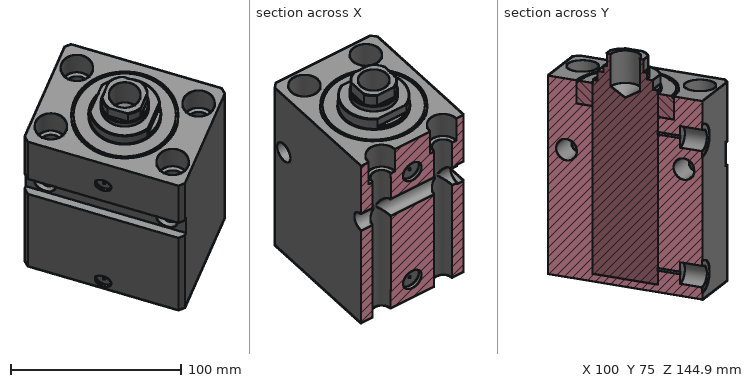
import cadquery as cq
import math

block_width = 100.0
block_depth = 75.0
block_height = 124.9
corner_chamfer = 3.0

bolt_hole_diameter = 13.0
bolt_spacing_x = 76.0
bolt_spacing_y = 44.9
counterbore_diameter = 19.0
counterbore_depth = 17.4

slot_height = 15.0
slot_depth = 4.9
slot_middle_z = block_height - 44.8

port_diameter = 13.2
port_depth = 14.5
spotface_diameter = 20.0
spotface_depth = 0.3
upper_port_z = block_height - 24.9
lower_port_z = 14.5

vent_diameter = 10.1
vent_depth = 1.7
upper_vent_z = block_height - 21.7
lower_vent_z = 7.1

passage_diameter = 1.3

gland_diameter = 62.9
gland_height = 14.5
gland_chamfer = 1.5
seal_lip_diameter = 42.9
seal_lip_height = 0.3

rod_diameter = 41.9
rod_bottom_z = 5.0
rod_shoulder_z = block_height + 8.0
rod_flat_bottom_z = block_height + 2.0
rod_across_flats = 36.0
neck_diameter = 28.4
neck_top_z = block_height + 12.0
head_diameter = 27.2
head_across_flats = 24.0
rod_top_z = 144.9
edge_chamfer = 0.5
rod_hole_diameter = 18.5
rod_hole_depth = 20.3
drill_point_angle = 118.0


def cylinder(diameter, bottom_z, top_z):
    """Upright cylinder on the Z axis."""
    return cq.Workplane("XY").workplane(offset=bottom_z).circle(diameter / 2).extrude(top_z - bottom_z)


def cylinder_inward_x(diameter, z, depth):
    """Cylinder running from the left face into the block."""
    return cq.Workplane("YZ", origin=(-block_width / 2, 0, z)).circle(diameter / 2).extrude(depth)


def cylinder_inward_y(diameter, x, z, depth):
    """Cylinder running from the front face into the block."""
    return cq.Workplane("XZ", origin=(x, -block_depth / 2, z)).circle(diameter / 2).extrude(-depth)


def make_housing():
    block = (
        cq.Workplane("XY")
        .box(block_width, block_depth, block_height, centered=(True, True, False))
        .edges("|Z")
        .chamfer(corner_chamfer)
    )

    block = (
        block.faces(">Z")
        .workplane()
        .rarray(bolt_spacing_x, bolt_spacing_y, 2, 2)
        .cboreHole(bolt_hole_diameter, counterbore_diameter, counterbore_depth)
    )

    slot = cq.Workplane("XY", origin=(0, -block_depth / 2, slot_middle_z)).box(
        block_width, 2 * slot_depth, slot_height
    )
    block = block.cut(slot)
    for x in (-bolt_spacing_x / 2, bolt_spacing_x / 2):
        block = block.cut(cylinder_inward_y(bolt_hole_diameter, x, slot_middle_z, block_depth))

    for z in (lower_port_z, upper_port_z):
        block = block.cut(cylinder_inward_x(spotface_diameter, z, spotface_depth))
        block = block.cut(cylinder_inward_x(port_diameter, z, port_depth))
        block = block.cut(cylinder_inward_x(passage_diameter, z, block_width / 2))

    for z in (lower_vent_z, upper_vent_z):
        block = block.cut(cylinder_inward_y(vent_diameter, 0, z, vent_depth))
        block = block.cut(cylinder_inward_y(passage_diameter, 0, z, block_depth / 2))

    block = block.cut(cylinder(gland_diameter, block_height - gland_height, block_height))
    return block.cut(cylinder(rod_diameter, rod_bottom_z, block_height))


def make_gland():
    ring = cylinder(gland_diameter, block_height - gland_height, block_height)
    ring = ring.faces(">Z").edges().chamfer(gland_chamfer)
    ring = ring.union(cylinder(seal_lip_diameter, block_height, block_height + seal_lip_height))
    return ring.cut(cylinder(rod_diameter, block_height - gland_height, rod_top_z))


def make_rod():
    shaft = cylinder(rod_diameter, rod_bottom_z, rod_shoulder_z).faces(">Z").edges().chamfer(edge_chamfer)

    flat_height = rod_shoulder_z - rod_flat_bottom_z
    flats = (
        cq.Workplane("XY")
        .workplane(offset=rod_flat_bottom_z)
        .rect(2 * rod_diameter, 2 * rod_diameter)
        .rect(rod_across_flats, 2 * rod_diameter)
        .extrude(flat_height)
    )
    shaft = shaft.cut(flats)

    neck = cylinder(neck_diameter, rod_shoulder_z, neck_top_z).faces(">Z").edges().chamfer(edge_chamfer)

    head = cylinder(head_diameter, neck_top_z, rod_top_z).faces(">Z").edges().chamfer(edge_chamfer)
    square = (
        cq.Workplane("XY")
        .workplane(offset=neck_top_z)
        .rect(head_across_flats, head_across_flats)
        .extrude(rod_top_z - neck_top_z)
    )
    head = head.intersect(square)

    hole_radius = rod_hole_diameter / 2
    point_depth = hole_radius / math.tan(math.radians(drill_point_angle / 2))
    hole_bottom_z = rod_top_z - rod_hole_depth
    hole = (
        cq.Workplane("XZ")
        .polyline([
            (0, rod_top_z),
            (hole_radius, rod_top_z),
            (hole_radius, hole_bottom_z),
            (0, hole_bottom_z - point_depth),
        ])
        .close()
        .revolve(360, (0, 0, 0), (0, 1, 0))
    )
    return shaft.union(neck).union(head).cut(hole)


housing = make_housing()
gland = make_gland()
rod = make_rod()

result = cq.Compound.makeCompound([housing.val(), gland.val(), rod.val()])